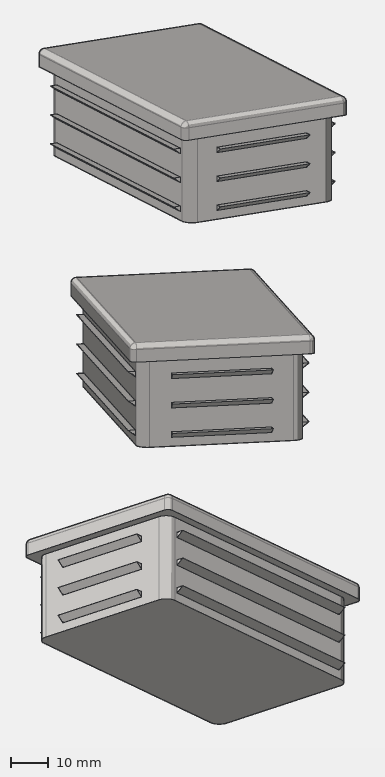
import cadquery as cq

length = 80.0
width = 50.0
lid_height = 5.0
lid_radius = 1.5

body_height = 24.0
lid_overhang = 2.5
body_radius = 3.0
body_length = length - 2 * lid_overhang
body_width = width - 2 * lid_overhang

rib_reach = 2.0
rib_height = 1.5
rib_count = 3
rib_pitch = body_height / rib_count
lowest_rib_top = rib_pitch / 2
long_rib_length = 67.2
short_rib_length = 27.2
rib_embed = 0.4


def make_body():
    block = cq.Workplane("XY").box(body_length, body_width, body_height, centered=(True, True, False))
    return block.edges("|Z").fillet(body_radius)


def make_lid():
    plate = cq.Workplane("XY").box(length, width, lid_height, centered=(True, True, False))
    plate = plate.edges("|Z").fillet(lid_radius)
    plate = plate.faces(">Z").edges().fillet(lid_radius)
    return plate.translate((0, 0, body_height))


def make_rib(wall_distance, rib_length, top, angle):
    """Rib on the wall at the given distance from the Z axis, turned about Z from the +X side."""
    profile = [
        (wall_distance - rib_embed, top),
        (wall_distance + rib_reach, top),
        (wall_distance, top - rib_height),
        (wall_distance - rib_embed, top - rib_height),
    ]
    rib = cq.Workplane("XZ").polyline(profile).close().extrude(rib_length / 2, both=True)
    return rib.rotate((0, 0, 0), (0, 0, 1), angle)


result = make_body().union(make_lid())
for level in range(rib_count):
    rib_top = lowest_rib_top + level * rib_pitch
    for end_angle in (0, 180):
        result = result.union(make_rib(body_length / 2, short_rib_length, rib_top, end_angle))
        result = result.union(make_rib(body_width / 2, long_rib_length, rib_top, end_angle + 90))